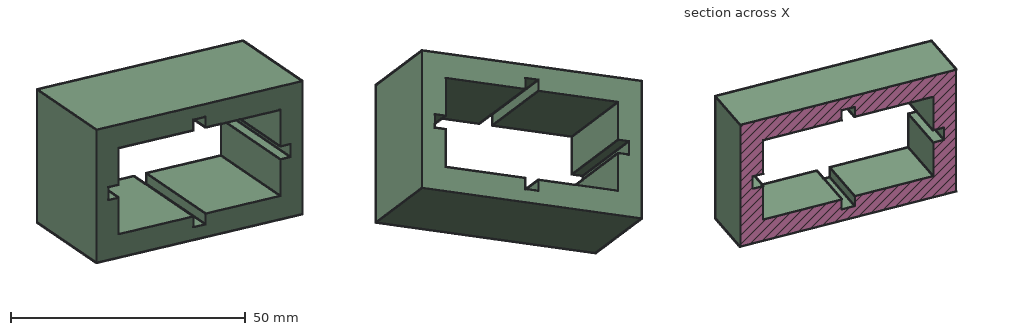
import cadquery as cq

LENGTH_X = 25.0
WIDTH_Y = 51.0
HEIGHT_Z = 31.0

WALL = 5.5
OPENING_Y = WIDTH_Y - 2 * WALL
OPENING_Z = HEIGHT_Z - 2 * WALL

GROOVE_WIDTH = 3.0
GROOVE_DEPTH = 2.5


def centred_bar(size_y, size_z):
    """Bar centred on the origin that spans the full X length of the block."""
    return cq.Workplane("XY").box(LENGTH_X, size_y, size_z)


def sleeve_bore():
    """Rectangular opening plus one groove in the middle of each wall."""
    opening = centred_bar(OPENING_Y, OPENING_Z)
    side_grooves = centred_bar(OPENING_Y + 2 * GROOVE_DEPTH, GROOVE_WIDTH)
    top_and_bottom_grooves = centred_bar(GROOVE_WIDTH, OPENING_Z + 2 * GROOVE_DEPTH)
    return opening.union(side_grooves).union(top_and_bottom_grooves)


result = centred_bar(WIDTH_Y, HEIGHT_Z).cut(sleeve_bore())